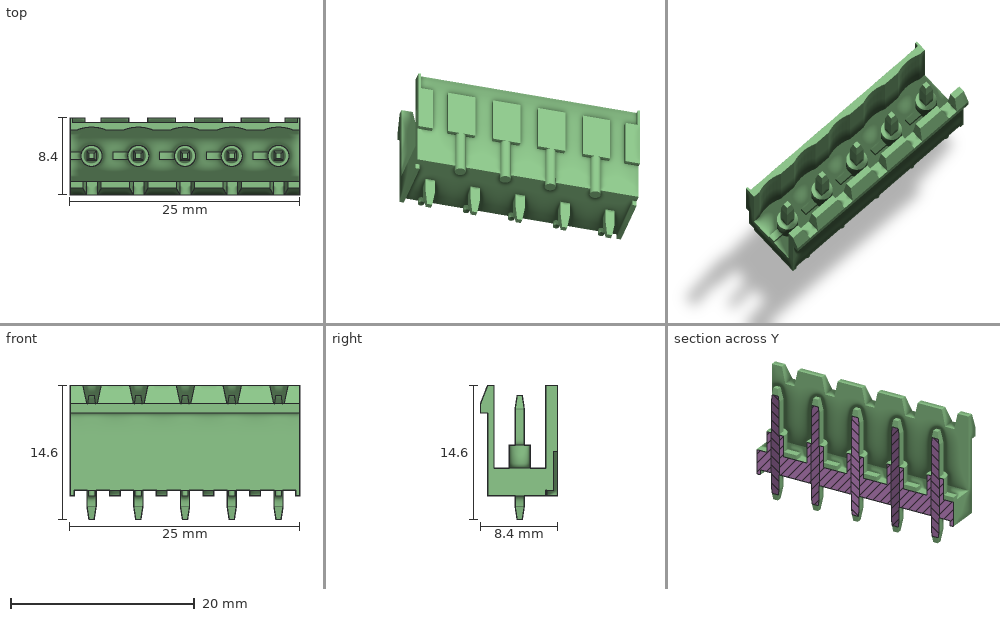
import cadquery as cq


length = 25.0
height = 12.0
floor_top = 3.0
front_inner = -2.78
front_outer = -3.5
back_inner = 2.82
back_outer = 4.12
back_recess = 0.48
back_face = back_outer - back_recess

pin_count = 5
row_length = 20.32
first_pin = (length - row_length) / 2
pitch = row_length / (pin_count - 1)
pin_positions = [first_pin + i * pitch for i in range(pin_count)]
gap_positions = [x + pitch / 2 for x in pin_positions[:-1]]

pin_width = 1.02
pin_tip_width = 0.58
pin_top = 10.92
pin_top_taper = 1.5
pin_bottom = -2.6
pin_bottom_taper = 1.45

lip_front = -4.28
lip_bottom = 9.0
lip_knee = 10.02
slot_bottom_width = 1.15
slot_top_width = 2.0
slot_offset = 0.05

scallop_depth = 0.3
scallop_chord = 3.15
ear_thickness = 0.25
ear_bottom = 4.8
rib_top = lip_knee
rib_gap = 2.02
end_rib_offset = 0.7

collar_diameter = 2.3
collar_top = 5.5
key_width = 0.8
key_height = 0.52
key_reach = 2.75

standoff = 0.6
foot_thickness = 0.48
large_peg_diameter = 1.2
large_peg_y = back_outer - large_peg_diameter / 2
small_peg_diameter = 0.7
small_peg_y = front_outer + small_peg_diameter / 2


def block(x0, x1, y0, y1, z0, z1):
    """Box between two corners."""
    return cq.Workplane("XY").box(x1 - x0, y1 - y0, z1 - z0, centered=False).translate((x0, y0, z0))


def cylinder(x, y, diameter, z0, z1):
    """Vertical round post."""
    return cq.Workplane("XY", origin=(x, y, z0)).circle(diameter / 2).extrude(z1 - z0)


def make_channel():
    """U-shaped profile with the latch lip, extruded over the full length."""
    profile = [
        (front_outer, 0),
        (back_inner, 0),
        (back_inner, standoff),
        (back_face, standoff),
        (back_face, height),
        (back_inner, height),
        (back_inner, floor_top),
        (front_inner, floor_top),
        (front_inner, height),
        (front_outer, height),
        (lip_front, lip_knee),
        (lip_front, lip_bottom),
        (front_outer, lip_bottom),
    ]
    channel = cq.Workplane("YZ").polyline(profile).close().extrude(length)
    clearance = block(foot_thickness, length - foot_thickness, front_outer, back_inner, 0, standoff)
    return channel.cut(clearance)


def make_slots():
    """Tapered gaps through the top of the front wall, one in front of each pin."""
    slots = cq.Workplane("XY")
    for pin_x in pin_positions:
        x = pin_x + slot_offset
        outline = [
            (x - slot_bottom_width / 2, lip_knee),
            (x + slot_bottom_width / 2, lip_knee),
            (x + slot_top_width / 2, height),
            (x - slot_top_width / 2, height),
        ]
        slot = cq.Workplane("XZ", origin=(0, front_inner, 0)).polyline(outline).close()
        slots = slots.add(slot.extrude(front_inner - lip_front))
    return slots.combine()


def make_scallops():
    """Shallow arc-shaped hollows in the inner back face, one behind each pin."""
    scallops = cq.Workplane("XY", origin=(0, 0, floor_top))
    for x in pin_positions:
        scallops = (
            scallops.moveTo(x - scallop_chord / 2, back_inner)
            .threePointArc((x, back_inner + scallop_depth), (x + scallop_chord / 2, back_inner))
            .close()
        )
    return scallops.extrude(height - floor_top)


def make_back_details():
    """End ears and the row of ribs on the outer back face."""
    ears = [(0, ear_thickness), (length - ear_thickness, length)]
    ribs = [(x + rib_gap / 2, x + pitch - rib_gap / 2) for x in pin_positions[:-1]]
    ribs.append((0, pin_positions[0] - end_rib_offset))
    ribs.append((pin_positions[-1] + end_rib_offset, length))
    details = cq.Workplane("XY")
    for x0, x1 in ears:
        details = details.add(block(x0, x1, back_face, back_outer, ear_bottom, height))
    for x0, x1 in ribs:
        details = details.add(block(x0, x1, back_face, back_outer, ear_bottom, rib_top))
    return details.combine()


def make_floor_details():
    """Round collar around each pin with a key bar on its left, cut off at the housing end."""
    details = cq.Workplane("XY")
    for x in pin_positions:
        key_start = max(x - key_reach, 0)
        key = block(key_start, x, -key_width / 2, key_width / 2, floor_top, floor_top + key_height)
        details = details.add(cylinder(x, 0, collar_diameter, floor_top, collar_top))
        details = details.add(key)
    return details.combine()


def make_pegs():
    """Small pegs below the front wall; large ones along the back wall between the pins."""
    pegs = cq.Workplane("XY")
    for x in pin_positions:
        pegs = pegs.add(cylinder(x, small_peg_y, small_peg_diameter, 0, standoff))
    for x in gap_positions:
        pegs = pegs.add(cylinder(x, large_peg_y, large_peg_diameter, 0, ear_bottom))
    return pegs.combine()


def make_pin_holes():
    """Square holes through floor and collars, filled by the pins."""
    centres = [(x, 0) for x in pin_positions]
    return cq.Workplane("XY").pushPoints(centres).rect(pin_width, pin_width).extrude(collar_top)


def make_housing():
    return (
        make_channel()
        .cut(make_slots())
        .cut(make_scallops())
        .union(make_back_details())
        .union(make_floor_details())
        .union(make_pegs())
        .cut(make_pin_holes())
    )


def taper(end_face, tip_length):
    """Square tip that narrows over the tip length, outward from an end face of the shank."""
    return (
        end_face.workplane()
        .rect(pin_width, pin_width)
        .workplane(offset=tip_length)
        .rect(pin_tip_width, pin_tip_width)
        .loft(combine=False)
    )


def make_pin(x):
    """Square pin whose two ends taper to smaller square tips."""
    shank_bottom = pin_bottom + pin_bottom_taper
    shank_top = pin_top - pin_top_taper
    shank = (
        cq.Workplane("XY", origin=(x, 0, shank_bottom))
        .rect(pin_width, pin_width)
        .extrude(shank_top - shank_bottom)
    )
    top_tip = taper(shank.faces(">Z"), pin_top_taper)
    bottom_tip = taper(shank.faces("<Z"), pin_bottom_taper)
    return shank.union(top_tip).union(bottom_tip)


housing = make_housing()
pins = [make_pin(x) for x in pin_positions]

result = cq.Compound.makeCompound([housing.val(), *[pin.val() for pin in pins]])